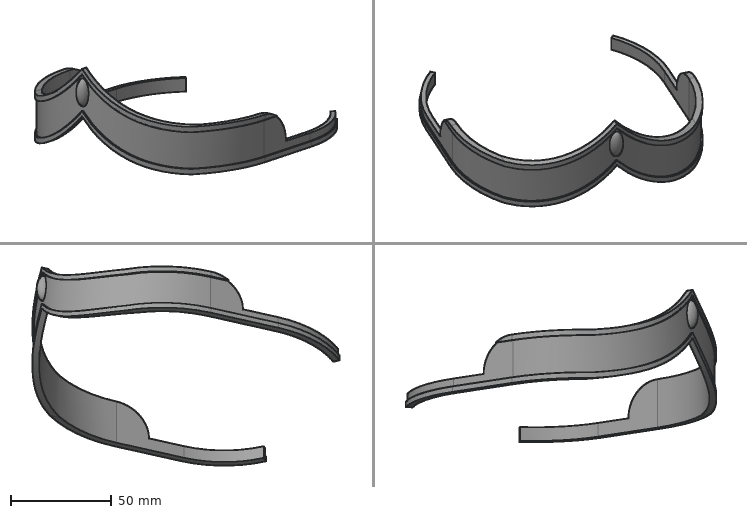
import cadquery as cq
import math

outer_width = 129.8
outer_radius = outer_width / 2
wall = 3.5
lip_depth = 0.9
arm_bend_start = 36.3
arm_bend_radius = 57.2
arm_bend_angle = math.radians(43.5)

band_height = 24.8
rim_height = 2.9
arm_height = 7.0
peak_rise = 26.3
peak_half_width = 50.8
peak_radius = 83.0
total_height = band_height + peak_rise

gem_radius = 3.6
gem_half_height = 7.3
gem_z = 38.6
face_radius = outer_radius - lip_depth
gem_y = -63.8

reach = outer_width


def arm_point(inset, angle):
    """Point on the right arm's bend, inset from the outer rim face."""
    radius = arm_bend_radius - inset
    bend_centre_x = outer_radius - arm_bend_radius
    return (bend_centre_x + radius * math.cos(angle), arm_bend_start + radius * math.sin(angle))


def mirrored(point):
    return (-point[0], point[1])


def wall_prism(inset):
    """Open U-shaped wall from the given inset to the inner face, at full height."""
    half_angle = arm_bend_angle / 2
    outer = outer_radius - inset
    inner = outer_radius - wall
    outer_middle = arm_point(inset, half_angle)
    outer_end = arm_point(inset, arm_bend_angle)
    inner_middle = arm_point(wall, half_angle)
    inner_end = arm_point(wall, arm_bend_angle)
    return (
        cq.Workplane("XY")
        .moveTo(*mirrored(outer_end))
        .threePointArc(mirrored(outer_middle), (-outer, arm_bend_start))
        .lineTo(-outer, 0)
        .threePointArc((0, -outer), (outer, 0))
        .lineTo(outer, arm_bend_start)
        .threePointArc(outer_middle, outer_end)
        .lineTo(*inner_end)
        .threePointArc(inner_middle, (inner, arm_bend_start))
        .lineTo(inner, 0)
        .threePointArc((0, -inner), (-inner, 0))
        .lineTo(-inner, arm_bend_start)
        .threePointArc(mirrored(inner_middle), mirrored(inner_end))
        .close()
        .extrude(total_height)
    )


def ribbon(bottom, top):
    """Height zone of the band: peaked across the front, flat along the sides."""
    front = (
        cq.Workplane("XZ")
        .moveTo(-reach, bottom)
        .lineTo(-peak_half_width, bottom)
        .radiusArc((0, bottom + peak_rise), -peak_radius)
        .radiusArc((peak_half_width, bottom), -peak_radius)
        .lineTo(reach, bottom)
        .lineTo(reach, top)
        .lineTo(peak_half_width, top)
        .radiusArc((0, top + peak_rise), peak_radius)
        .radiusArc((-peak_half_width, top), peak_radius)
        .lineTo(-reach, top)
        .close()
        .extrude(reach)
    )
    rear = cq.Workplane("XY").box(2 * reach, reach, top - bottom, centered=(True, False, False))
    return front.union(rear.translate((0, 0, bottom)))


def arm_relief():
    """Space above the arms, with a rounded shoulder where the tall band ends."""
    shoulder = band_height - arm_height
    diagonal = shoulder * math.sqrt(0.5)
    return (
        cq.Workplane("YZ")
        .moveTo(0, band_height)
        .threePointArc((diagonal, arm_height + diagonal), (shoulder, arm_height))
        .lineTo(reach, arm_height)
        .lineTo(reach, total_height)
        .lineTo(0, total_height)
        .close()
        .extrude(reach, both=True)
    )


def make_headband():
    """Band with its outer face recessed between a bottom rim and a top rim."""
    rim_wall = wall_prism(0)
    recess_zone = ribbon(rim_height, band_height - rim_height)
    face_recess = rim_wall.cut(wall_prism(lip_depth)).intersect(recess_zone)
    band = rim_wall.intersect(ribbon(0, band_height))
    return band.cut(face_recess).cut(arm_relief())


def make_gem():
    """Elongated half gem whose back follows the curved front face."""
    gem = (
        cq.Workplane("XZ")
        .ellipseArc(gem_radius, gem_half_height, -90, 90, startAtCurrent=False)
        .close()
        .revolve(360, (0, 0, 0), (0, 1, 0))
        .translate((0, gem_y, gem_z))
    )
    return gem.cut(cq.Workplane("XY").circle(face_radius).extrude(total_height))


headband = make_headband()
gem = make_gem()

result = cq.Compound.makeCompound([*headband.solids().vals(), *gem.solids().vals()])